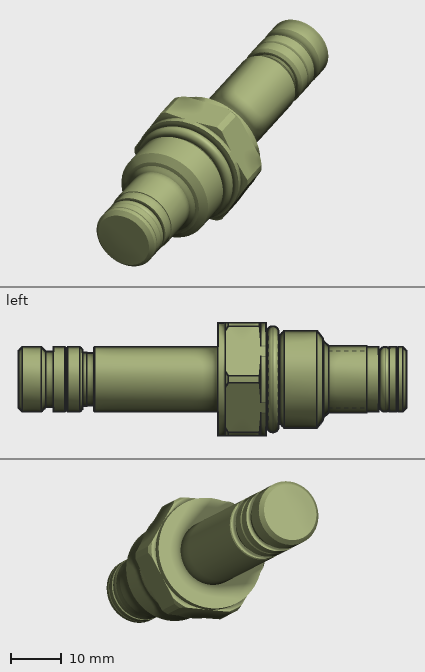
import cadquery as cq
import math


tube_radius = 6.4
tube_end = 48.73
end_chamfer = 0.8
upper_groove_radius = 5.5
upper_groove_top = tube_end - 4.5
upper_groove_bottom = tube_end - 6.9
upper_groove_bevel = tube_radius - upper_groove_radius
v_groove_top = tube_end - 9.1
v_groove_width = 0.65
v_groove_depth = 0.3
lower_groove_radius = 5.2
lower_groove_neck_radius = 5.3
lower_groove_neck_length = 0.75
lower_groove_top = tube_end - 12.1
lower_groove_bottom = tube_end - 14.85
lower_groove_bevel = 0.55
tube_edge_chamfer = 0.2

hex_across_flats = 22.23
hex_corner_diameter = 24.94
hex_bottom = 1.05
hex_top = 8.1
hex_top_face_radius = 12.0
hex_top_chamfer_height = 0.65
hex_bottom_chamfer_height = 0.3
hex_collar_top = 9.53
upper_collar_radius = hex_across_flats / 2
lower_collar_radius = 11.18

large_ring_outer_radius = 10.47
large_ring_section_radius = 1.15
large_ring_y = -1.3
relief_radius = 9.4
relief_depth = 0.25
neck_radius = 8.65
housing_radius = 9.58
housing_top = -3.55
housing_bottom = -9.95
housing_top_bevel = housing_radius - neck_radius
housing_end = -11.12
housing_end_radius = 8.15
shoulder_radius = 7.45
shoulder_top = -11.3

sleeve_outer_radius = 6.62
sleeve_inner_radius = 5.6
sleeve_top = -12.25
sleeve_bottom = -19.8

nose_radius = tube_radius
nose_end = -27.6
small_ring_section_radius = 1.1
small_ring_y = nose_end + 4.25
small_ring_groove_radius = 4.9
small_ring_groove_top = nose_end + 5.5
small_ring_groove_bottom = nose_end + 3.4
nose_v_groove_top = nose_end + 2.0
nose_v_groove_width = 0.3
nose_v_groove_depth = 0.2


def revolve_about_y(profile):
    return profile.revolve(360, (0, 0, 0), (0, 1, 0))


def make_turned_core():
    """Turned shape of the body as (radius, y) points, from the tube end down to the nose."""
    points = [
        (0, tube_end),
        (tube_radius - end_chamfer, tube_end),
        (tube_radius, tube_end - end_chamfer),
        (tube_radius, upper_groove_top),
        (upper_groove_radius, upper_groove_top - upper_groove_bevel),
        (upper_groove_radius, upper_groove_bottom),
        (tube_radius, upper_groove_bottom),
        (tube_radius, v_groove_top),
        (tube_radius - v_groove_depth, v_groove_top - v_groove_width / 2),
        (tube_radius, v_groove_top - v_groove_width),
        (tube_radius, lower_groove_top),
        (tube_radius - lower_groove_bevel, lower_groove_top - lower_groove_bevel),
        (lower_groove_neck_radius, lower_groove_top - lower_groove_bevel),
        (lower_groove_neck_radius, lower_groove_top - lower_groove_bevel - lower_groove_neck_length),
        (lower_groove_radius, lower_groove_top - lower_groove_bevel - lower_groove_neck_length),
        (lower_groove_radius, lower_groove_bottom),
        (tube_radius - tube_edge_chamfer, lower_groove_bottom),
        (tube_radius, lower_groove_bottom - tube_edge_chamfer),
        (tube_radius, hex_collar_top),
        (upper_collar_radius, hex_collar_top),
        (upper_collar_radius, 0),
        (relief_radius, 0),
        (relief_radius, -relief_depth),
        (neck_radius, -relief_depth),
        (neck_radius, housing_top + housing_top_bevel),
        (housing_radius, housing_top),
        (housing_radius, housing_bottom),
        (housing_end_radius, housing_end),
        (shoulder_radius, shoulder_top),
        (sleeve_outer_radius, sleeve_top),
        (sleeve_inner_radius, sleeve_top),
        (sleeve_inner_radius, sleeve_bottom),
        (nose_radius, sleeve_bottom),
        (nose_radius, small_ring_groove_top),
        (small_ring_groove_radius, small_ring_groove_top),
        (small_ring_groove_radius, small_ring_groove_bottom),
        (nose_radius, small_ring_groove_bottom),
        (nose_radius, nose_v_groove_top),
        (nose_radius - nose_v_groove_depth, nose_v_groove_top - nose_v_groove_width / 2),
        (nose_radius, nose_v_groove_top - nose_v_groove_width),
        (nose_radius, nose_end + end_chamfer),
        (nose_radius - end_chamfer, nose_end),
        (0, nose_end),
    ]
    return revolve_about_y(cq.Workplane("XY").polyline(points).close())


def make_hexagon():
    """Hexagon with two flats facing +Z and -Z, its corners turned down and chamfered."""
    corner_radius = hex_corner_diameter / 2
    across_corners = hex_across_flats / math.cos(math.pi / 6)
    prism = cq.Workplane("XZ").polygon(6, across_corners).extrude(-hex_top)
    envelope_points = [
        (0, 0),
        (lower_collar_radius, 0),
        (lower_collar_radius, hex_bottom),
        (corner_radius, hex_bottom + hex_bottom_chamfer_height),
        (corner_radius, hex_top - hex_top_chamfer_height),
        (hex_top_face_radius, hex_top),
        (0, hex_top),
    ]
    envelope = revolve_about_y(cq.Workplane("XY").polyline(envelope_points).close())
    return prism.intersect(envelope)


def make_ring(outer_radius, section_radius, ring_y):
    section = cq.Workplane("XY").center(outer_radius - section_radius, ring_y).circle(section_radius)
    return section.revolve(360, (section_radius - outer_radius, 0, 0), (section_radius - outer_radius, 1, 0))


def make_body():
    body = make_turned_core().union(make_hexagon())
    body = body.union(make_ring(large_ring_outer_radius, large_ring_section_radius, large_ring_y))
    return body.union(make_ring(nose_radius, small_ring_section_radius, small_ring_y))


def make_sleeve():
    sleeve = cq.Workplane("XZ", origin=(0, sleeve_top, 0))
    return sleeve.circle(sleeve_outer_radius).circle(sleeve_inner_radius).extrude(sleeve_top - sleeve_bottom)


body = make_body()
sleeve = make_sleeve()
result = cq.Compound.makeCompound([body.solids().val(), sleeve.val()])